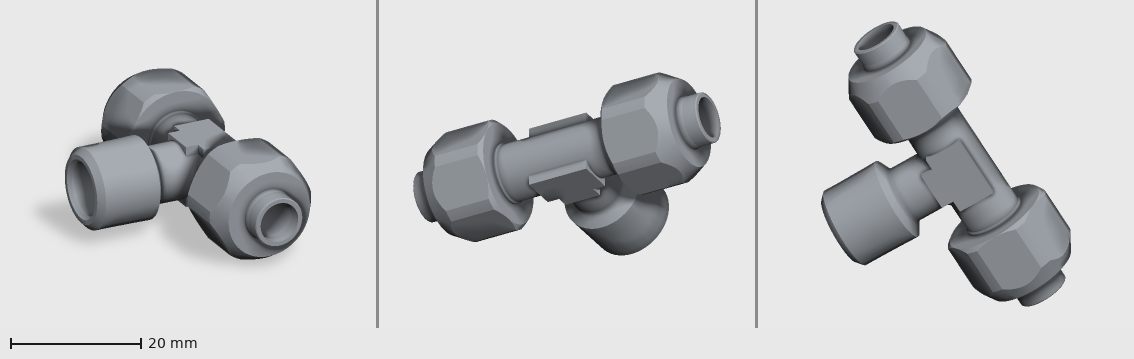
import cadquery as cq
import math

overall_length = 49.6
bore_radius = 3.2
pipe_radius = 4.55

tube_radius = 4.0
tip_chamfer = 0.15
sleeve_radius = 4.2
sleeve_start = 22.35

nut_across_flats = 16.0
nut_corner_radius = 8.75
nut_inner_face = 10.25
nut_outer_face = 21.4
nut_outer_face_radius = 7.0
nut_outer_slope = 30
nut_inner_chamfer = 0.6

collar_radius = 4.8
collar_start = 9.7

block_half_length = 5.0
block_half_height = 5.0
block_half_depth = 3.0
block_stem_half_width = 3.05
block_stem_end = 5.0
corner_fillet = 0.7

branch_end = 21.55
shoulder_start = 10.0
shoulder_angle = 60
shoulder_fillet = 0.65
thread_radius = 6.65
thread_end_radius = 6.55
thread_end_face_radius = 5.5
thread_chamfer_length = 1.0

mouth_radius = 4.75
socket_radius = 4.3
mouth_depth = 0.65
socket_depth = 10.4
floor_angle = 60


def revolve_along_x(points):
    return cq.Workplane("XY").polyline(points).close().revolve(360, (0, 0, 0), (1, 0, 0))


def revolve_branch(points):
    """Revolve (radius, distance) points about the branch axis, distance running along -Y."""
    flipped = [(radius, -distance) for radius, distance in points]
    return cq.Workplane("XY").polyline(flipped).close().revolve(360, (0, 0, 0), (0, 1, 0))


def make_branch():
    """Pipe from the run axis, conical shoulder and slightly tapered thread body."""
    shoulder_length = (thread_radius - pipe_radius) / math.tan(math.radians(shoulder_angle))
    profile = [
        (0, 0),
        (pipe_radius, 0),
        (pipe_radius, shoulder_start),
        (thread_radius, shoulder_start + shoulder_length),
        (thread_end_radius, branch_end - thread_chamfer_length),
        (thread_end_face_radius, branch_end),
        (0, branch_end),
    ]
    shoulder_root = cq.selectors.NearestToPointSelector((0, -shoulder_start, 0))
    return revolve_branch(profile).edges("%CIRCLE").edges(shoulder_root).fillet(shoulder_fillet)


def make_core():
    """Run pipe, branch and centre block, with the pipe corners filleted."""
    run = cq.Workplane("YZ").circle(pipe_radius).extrude(collar_start, both=True)
    half_outline = [
        (0, -block_stem_end),
        (block_stem_half_width, -block_stem_end),
        (block_stem_half_width, -block_half_depth),
        (block_half_length, -block_half_depth),
        (block_half_length, block_half_depth),
        (0, block_half_depth),
    ]
    block = (
        cq.Workplane("XY")
        .polyline(half_outline)
        .mirrorY()
        .extrude(block_half_height, both=True)
    )
    core = run.union(make_branch()).union(block)
    return core.edges("%ELLIPSE").fillet(corner_fillet)


def make_nut():
    """Hexagonal nut on the +X side, with flats facing +Z and -Z."""
    cone_length = (nut_corner_radius - nut_outer_face_radius) / math.tan(math.radians(nut_outer_slope))
    hexagon = (
        cq.Workplane("YZ", origin=(nut_inner_face, 0, 0))
        .transformed(rotate=(0, 0, 30))
        .polygon(6, nut_across_flats, circumscribed=True)
        .extrude(nut_outer_face - nut_inner_face)
    )
    turned = [
        (nut_inner_face, 0),
        (nut_inner_face, nut_across_flats / 2),
        (nut_inner_face + nut_inner_chamfer, nut_corner_radius),
        (nut_outer_face - cone_length, nut_corner_radius),
        (nut_outer_face, nut_outer_face_radius),
        (nut_outer_face, 0),
    ]
    return hexagon.intersect(revolve_along_x(turned))


def make_run_end():
    """Nut, collar and tube stub on the +X side."""
    half_length = overall_length / 2
    collar = [
        (collar_start, 0),
        (collar_start, pipe_radius),
        (collar_start + collar_radius - pipe_radius, collar_radius),
        (nut_inner_face, collar_radius),
        (nut_inner_face, 0),
    ]
    stub = [
        (nut_outer_face, 0),
        (nut_outer_face, sleeve_radius),
        (sleeve_start, tube_radius),
        (half_length - tip_chamfer, tube_radius),
        (half_length, tube_radius - tip_chamfer),
        (half_length, 0),
    ]
    return make_nut().union(revolve_along_x(collar)).union(revolve_along_x(stub))


def make_branch_socket():
    floor_length = (socket_radius - bore_radius) / math.tan(math.radians(floor_angle))
    floor_start = branch_end - socket_depth
    profile = [
        (0, 0),
        (bore_radius, 0),
        (bore_radius, floor_start - floor_length),
        (socket_radius, floor_start),
        (socket_radius, branch_end - mouth_depth),
        (mouth_radius, branch_end),
        (0, branch_end),
    ]
    return revolve_branch(profile)


run_end = make_run_end()
run_bore = cq.Workplane("YZ").circle(bore_radius).extrude(overall_length / 2, both=True)

result = (
    make_core()
    .union(run_end)
    .union(run_end.mirror("YZ"))
    .cut(run_bore)
    .cut(make_branch_socket())
)